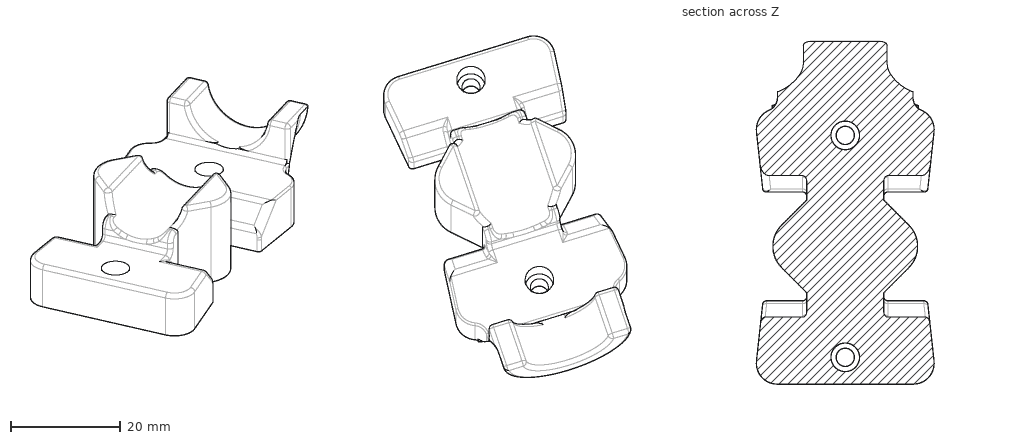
import cadquery as cq
import math

foot_height = 8.6
top_height = 16.6
lip_depth = 1.56
foot_outer_y = 25.3
foot_inner_y = 9.95
cradle_end_y = 37.63
edge_round = 0.8
fine_round = 0.4

foot_inner_half_width = 15.1
foot_corner_radius = 3.9
foot_corner_x = 12.425
foot_corner_y = foot_outer_y - foot_corner_radius
bevel = 4.05
bevel_angle = math.radians(45)
bevel_round = 1.9
bevel_end_y = foot_inner_y + bevel + bevel_round * math.tan(bevel_angle / 2)
rear_corner_round = 0.65
rear_flank_round = 1.6

tolerance = 0.01

hole_y = 20.35
hole_diameter = 3.3
counterbore_diameter = 5.2
counterbore_depth = foot_height / 2

axis_z = 17.1
saddle_bore_radius = 7.2
cradle_bore_radius = 8.0

saddle_half_width = 13.3
saddle_tip_radius = 5.5
saddle_flank_angle = math.radians(45)
saddle_half_length = 10.5
neck_half_width = 7.1
neck_half_length = 11.3
neck_height = 12.6
neck_crown_radius = 1.9
neck_foot_radius = 0.9
neck_rim_round = 0.7
neck_corner_round = 0.7

cradle_outer_radius = 12.3
cradle_half_width = 12.45
cradle_face_y = 28.25
deck_end_y = cradle_face_y + 2 * edge_round
lip_half_width = 13.4
waist_radius = 2.48
lip_y = 25.25
flare_radius = 6.0
flare_angle = math.radians(65)
flare_start_y = 29.95
lip_relief_radius = 5.95


def mirror_x(point):
    """The plan point reflected to the other side of the centre line."""
    return (-point[0], point[1])


def edges_where(body, test):
    """Edges of the body whose centre point passes the test."""
    return body.newObject([edge for edge in body.edges().vals() if test(edge.Center())])


def bore(radius, start_y, end_y):
    """Cylinder along Y on the bore axis."""
    return (
        cq.Workplane("XZ", origin=(0, start_y, axis_z))
        .circle(radius)
        .extrude(start_y - end_y)
    )


def corner_tangent_point():
    """Point where the slanted foot side touches the outer corner round."""
    dx = foot_inner_half_width - foot_corner_x
    dy = foot_inner_y - foot_corner_y
    distance = math.hypot(dx, dy)
    turn = math.atan2(dy, dx) + math.acos(foot_corner_radius / distance)
    return (
        foot_corner_x + foot_corner_radius * math.cos(turn),
        foot_corner_y + foot_corner_radius * math.sin(turn),
    )


def foot_plan():
    """Outline of the +Y foot: slanted sides and round outer corners."""
    side = corner_tangent_point()
    end = (foot_corner_x, foot_outer_y)
    inner = (foot_inner_half_width, foot_inner_y)
    return (
        cq.Workplane("XY")
        .moveTo(*inner)
        .lineTo(*side)
        .radiusArc(end, -foot_corner_radius)
        .lineTo(*mirror_x(end))
        .radiusArc(mirror_x(side), -foot_corner_radius)
        .lineTo(*mirror_x(inner))
        .close()
    )


def waist_points():
    """Ends of the waist hollow: on the foot's corner round and on the cradle side."""
    waist_x = cradle_half_width + waist_radius
    reach = foot_corner_radius + waist_radius
    waist_y = foot_corner_y + math.sqrt(reach**2 - (waist_x - foot_corner_x) ** 2)
    share = foot_corner_radius / reach
    contact = (
        foot_corner_x + (waist_x - foot_corner_x) * share,
        foot_corner_y + (waist_y - foot_corner_y) * share,
    )
    return contact, (cradle_half_width, waist_y)


def rear_plan():
    """Outline of the +Y foot drawn in through the waist hollows to run on under the cradle."""
    side = corner_tangent_point()
    contact, waist = waist_points()
    inner = (foot_inner_half_width, foot_inner_y)
    return (
        cq.Workplane("XY")
        .moveTo(*inner)
        .lineTo(*side)
        .radiusArc(contact, -foot_corner_radius)
        .radiusArc(waist, waist_radius)
        .lineTo(cradle_half_width, deck_end_y)
        .lineTo(-cradle_half_width, deck_end_y)
        .lineTo(*mirror_x(waist))
        .radiusArc(mirror_x(contact), waist_radius)
        .radiusArc(mirror_x(side), -foot_corner_radius)
        .lineTo(*mirror_x(inner))
        .close()
    )


def bevelled_foot(plan, height):
    """Foot extruded from a plan, with a 45 degree bevel that starts below foot level on its inner end."""
    bevel_bottom = foot_height - bevel
    cutter = (
        cq.Workplane("YZ")
        .moveTo(foot_inner_y, bevel_bottom)
        .lineTo(foot_inner_y + height - bevel_bottom, height)
        .lineTo(foot_inner_y, height)
        .close()
        .extrude(foot_outer_y, both=True)
    )
    return plan.extrude(height).cut(cutter)


def rounded_foot(plan, flank_round):
    """Foot with blended bevel and one round running over its sides, top and bevel flanks."""
    foot = bevelled_foot(plan, foot_height)
    bevel_edges = edges_where(
        foot,
        lambda c: abs(c.x) < tolerance and c.z > tolerance and c.y < foot_corner_y,
    )
    foot = bevel_edges.fillet(bevel_round)
    flanks = edges_where(
        foot,
        lambda c: abs(c.x) > tolerance and c.z > tolerance and c.y < foot_corner_y - edge_round,
    )
    return flanks.fillet(flank_round)


def front_foot():
    """Foot at the -Y end."""
    return rounded_foot(foot_plan(), edge_round).mirror("XZ")


def rear_foot():
    """Foot with a fine top round, and bevel flanks rounded more fully."""
    envelope = bevelled_foot(rear_plan(), foot_height + bevel)
    flanks = edges_where(
        envelope,
        lambda c: abs(c.x) > tolerance
        and c.y < foot_corner_y - edge_round
        and abs(c.z - foot_height) < bevel - tolerance,
    )
    envelope = flanks.fillet(rear_flank_round)
    inner_corners = edges_where(
        envelope,
        lambda c: abs(c.x) > foot_corner_x and abs(c.y - foot_inner_y) < tolerance and c.z > tolerance,
    )
    envelope = inner_corners.fillet(rear_corner_round)
    return rounded_foot(rear_plan(), fine_round).intersect(envelope)


def neck():
    """Ridge joining both feet, crowned above foot level under the saddle."""
    straight_y = neck_half_length - neck_crown_radius
    blend_z = foot_height + neck_foot_radius
    blend_y = neck_half_length + neck_foot_radius
    ridge = (
        cq.Workplane("YZ")
        .moveTo(-bevel_end_y, 0)
        .lineTo(bevel_end_y, 0)
        .lineTo(bevel_end_y, foot_height)
        .lineTo(blend_y, foot_height)
        .radiusArc((neck_half_length, blend_z), neck_foot_radius)
        .lineTo(neck_half_length, neck_height - neck_crown_radius)
        .radiusArc((straight_y, neck_height), -neck_crown_radius)
        .lineTo(-straight_y, neck_height)
        .radiusArc((-neck_half_length, neck_height - neck_crown_radius), -neck_crown_radius)
        .lineTo(-neck_half_length, blend_z)
        .radiusArc((-blend_y, foot_height), neck_foot_radius)
        .lineTo(-bevel_end_y, foot_height)
        .close()
        .extrude(neck_half_width, both=True)
    )
    return edges_where(
        ridge,
        lambda c: abs(c.x) > tolerance and c.z > foot_height - tolerance,
    ).fillet(edge_round)


def saddle_block():
    """Diamond block with rounded tips, standing over the neck."""
    slope = saddle_flank_angle
    tip_centre_x = saddle_half_width - saddle_tip_radius
    tangent_x = tip_centre_x + saddle_tip_radius * math.cos(slope)
    tangent_y = saddle_tip_radius * math.sin(slope)
    apex_y = tangent_y + tangent_x
    diamond = (
        cq.Workplane("XY")
        .moveTo(tangent_x, -tangent_y)
        .threePointArc((saddle_half_width, 0), (tangent_x, tangent_y))
        .lineTo(0, apex_y)
        .lineTo(-tangent_x, tangent_y)
        .threePointArc((-saddle_half_width, 0), (-tangent_x, -tangent_y))
        .lineTo(0, -apex_y)
        .close()
        .extrude(top_height)
    )
    middle = cq.Workplane("XY").box(
        2 * saddle_half_width,
        2 * saddle_half_length,
        top_height,
        centered=(True, True, False),
    )
    return diamond.intersect(middle)


def saddle_bore():
    """Cylinder that hollows the saddle and the neck crown."""
    return bore(saddle_bore_radius, -bevel_end_y, bevel_end_y)


def saddle():
    """Diamond block, bored and rounded along its top and the rims of the bore."""
    block = saddle_block().cut(saddle_bore())
    return edges_where(block, lambda c: c.z > neck_height + edge_round).fillet(edge_round)


def bored_neck():
    """Neck with the bore through its crown and the rims of the bore rounded."""
    ridge = neck().cut(saddle_bore())
    rims = edges_where(
        ridge,
        lambda c: c.z > foot_height and math.hypot(c.x, c.z - axis_z) < saddle_bore_radius + tolerance,
    )
    return rims.fillet(neck_rim_round)


def flare_envelope():
    """Barrel about the bore axis that blends into a cone at the lip; unbounded over the foot."""
    slope = flare_angle
    tangent = flare_radius * math.tan(slope / 2)
    barrel_y = flare_start_y + tangent
    cone_y = flare_start_y - tangent * math.cos(slope)
    cone_radius = cradle_outer_radius + tangent * math.sin(slope)
    lip_radius = cradle_outer_radius + (flare_start_y - lip_y) * math.tan(slope)
    clear_radius = 2 * lip_radius
    half = slope / 2
    middle_y = barrel_y - flare_radius * math.sin(half)
    middle_radius = cradle_outer_radius + flare_radius * (1 - math.cos(half))
    return (
        cq.Workplane("XY")
        .moveTo(0, 0)
        .lineTo(clear_radius, 0)
        .lineTo(clear_radius, lip_y)
        .lineTo(lip_radius, lip_y)
        .lineTo(cone_radius, cone_y)
        .threePointArc((middle_radius, middle_y), (cradle_outer_radius, barrel_y))
        .lineTo(cradle_outer_radius, cradle_end_y - edge_round)
        .radiusArc((cradle_outer_radius - edge_round, cradle_end_y), -edge_round)
        .lineTo(0, cradle_end_y)
        .close()
        .revolve(360, (0, 0, 0), (0, 1, 0))
        .translate((0, 0, axis_z))
    )


def cradle_block():
    """Upright block with the bore through it, rounded on its top, faces and bore rims."""
    block = cq.Workplane("XY").box(
        2 * cradle_half_width,
        cradle_end_y - cradle_face_y,
        top_height,
        centered=(True, False, False),
    ).translate((0, cradle_face_y, 0))
    block = block.cut(bore(cradle_bore_radius, cradle_face_y, cradle_end_y))
    return edges_where(block, lambda c: c.z > tolerance).fillet(edge_round)


def cradle_foot_blend():
    """Concave strip where the cradle face rises from the rear foot."""
    strip = (
        cq.Workplane("YZ")
        .moveTo(cradle_face_y - edge_round, foot_height)
        .radiusArc((cradle_face_y, foot_height + edge_round), -edge_round)
        .lineTo(cradle_face_y + edge_round, foot_height + edge_round)
        .lineTo(cradle_face_y + edge_round, foot_height)
        .close()
        .extrude(cradle_half_width - edge_round / 2, both=True)
    )
    return strip.cut(bore(cradle_bore_radius, lip_y, cradle_end_y))


def lip():
    """Flared lip hanging below the seating plane, relieved about the rear screw."""
    plate = cq.Workplane("XY").box(
        2 * lip_half_width,
        cradle_end_y - lip_y,
        lip_depth + edge_round,
        centered=(True, False, False),
    ).translate((0, lip_y, -lip_depth))
    relief = (
        cq.Workplane("XY", origin=(0, hole_y, -lip_depth))
        .circle(lip_relief_radius)
        .extrude(lip_depth)
    )
    return plate.cut(relief)


def rear_half():
    """Rear foot, lip and cradle, all trimmed to the flared barrel."""
    body = rear_foot().union(cradle_block()).union(cradle_foot_blend()).union(lip())
    return body.intersect(flare_envelope())


def base():
    """Both feet joined by the neck, with the inside corners beside the neck filled round."""
    body = front_foot().union(rear_half()).union(bored_neck())
    corners = edges_where(
        body,
        lambda c: abs(abs(c.x) - neck_half_width) < tolerance
        and abs(abs(c.y) - foot_inner_y) < tolerance
        and tolerance < c.z < foot_height - bevel,
    )
    return corners.fillet(neck_corner_round)


def screw_hole(y):
    """Cutter for a counterbored screw hole at the given Y."""
    through = cq.Workplane("XY", origin=(0, y, -lip_depth)).circle(hole_diameter / 2).extrude(top_height)
    wide = (
        cq.Workplane("XY", origin=(0, y, foot_height - counterbore_depth))
        .circle(counterbore_diameter / 2)
        .extrude(foot_height)
    )
    return through.union(wide)


result = base().union(saddle())
for screw_y in (hole_y, -hole_y):
    result = result.cut(screw_hole(screw_y))
result = result.clean()